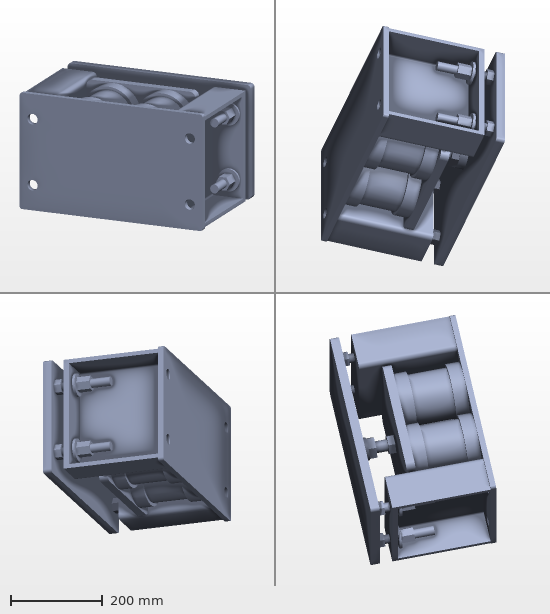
import cadquery as cq

LENGTH = 436.0
DEPTH = 279.5

FRONT_HEIGHT = 264.0
FRONT_THICKNESS = 12.5
FRONT_CORNER_RADIUS = 6.0
ACCESS_HOLE_DIAMETER = 24.0

BACK_HEIGHT = 260.0
BACK_THICKNESS = 20.0
BACK_CORNER_RADIUS = 8.0
BACK_INNER_Y = DEPTH - BACK_THICKNESS

LEG_WIDTH = 82.5
LEG_HEIGHT = 251.0
LEG_DEPTH = 219.0
LEG_WALL = 9.0
LEG_END_WALL = 12.0
LEG_OUTER_RADIUS = 11.0
LEG_INNER_RADIUS = 4.0
LEG_END_Y = FRONT_THICKNESS + LEG_DEPTH

SPRING_SPACING = 128.5
SPRING_CAP_DIAMETER = 128.0
SPRING_CAP_HEIGHT = 30.5
SPRING_BODY_DIAMETER = 113.0
SPRING_LENGTH = 148.5
PRESSURE_PLATE_SIDE = 260.0
PRESSURE_PLATE_THICKNESS = 20.0
PRESSURE_PLATE_CORNER_RADIUS = 14.0
SPRING_END_Y = FRONT_THICKNESS + SPRING_LENGTH
PRESSURE_PLATE_END_Y = SPRING_END_Y + PRESSURE_PLATE_THICKNESS

SCREW_DIAMETER = 26.0
SCREW_LOCKNUT_CORNERS = 45.0
SCREW_LOCKNUT_HEIGHT = 15.3
SCREW_HEAD_CORNERS = 51.0
SCREW_HEAD_HEIGHT = 17.0
SCREW_BOSS_DIAMETER = 51.0
SCREW_BOSS_HEIGHT = 18.5

BOLT_SPACING_X = 375.0
BOLT_SPACING_Z = 150.0
BOLT_DIAMETER = 20.0
BOLT_END_Y = 132.5
NUT_CORNERS = 34.5
NUT_HEIGHT = 15.3
WASHER_DIAMETER = 51.0
WASHER_THICKNESS = 5.5
WASHER_GAP = 5.5


def section_at(y):
    """Workplane at depth y, facing +Y, with its local x along -X and local y along Z."""
    return cq.Workplane("XZ", origin=(0, y, 0)).transformed(rotate=(0, 180, 0))


def rounded_plate(width, height, thickness, radius, y):
    plate = section_at(y).rect(width, height).extrude(thickness)
    return plate.edges("|Y").fillet(radius)


def cylinders(points, diameter, y_start, y_end):
    return section_at(y_start).pushPoints(points).circle(diameter / 2).extrude(y_end - y_start)


def hexagons(points, corners, y_start, height):
    return section_at(y_start).pushPoints(points).polygon(6, corners).extrude(height)


def grid(spacing_x, spacing_z):
    return [(sx * spacing_x / 2, sz * spacing_z / 2) for sx in (-1, 1) for sz in (-1, 1)]


def left_leg():
    """Channel with its web towards the middle, closed by an end wall at the back."""
    outer_x = -LENGTH / 2
    leg = (
        cq.Workplane("XY")
        .box(LEG_WIDTH, LEG_DEPTH, LEG_HEIGHT, centered=(False, False, True))
        .edges("|Y and >X")
        .fillet(LEG_OUTER_RADIUS)
    )
    cavity = (
        cq.Workplane("XY")
        .box(
            LEG_WIDTH - LEG_WALL,
            LEG_DEPTH - LEG_END_WALL,
            LEG_HEIGHT - 2 * LEG_WALL,
            centered=(False, False, True),
        )
        .edges("|Y and >X")
        .fillet(LEG_INNER_RADIUS)
    )
    return leg.cut(cavity).translate((outer_x, FRONT_THICKNESS, 0))


def springs():
    centres = grid(SPRING_SPACING, SPRING_SPACING)
    front_cap_end = FRONT_THICKNESS + SPRING_CAP_HEIGHT
    back_cap_start = SPRING_END_Y - SPRING_CAP_HEIGHT
    front_caps = cylinders(centres, SPRING_CAP_DIAMETER, FRONT_THICKNESS, front_cap_end)
    bodies = cylinders(centres, SPRING_BODY_DIAMETER, front_cap_end, back_cap_start)
    back_caps = cylinders(centres, SPRING_CAP_DIAMETER, back_cap_start, SPRING_END_Y)
    return front_caps.union(bodies).union(back_caps)


def adjusting_screw():
    axis = [(0, 0)]
    boss_start = BACK_INNER_Y - SCREW_BOSS_HEIGHT
    head_start = boss_start - SCREW_HEAD_HEIGHT
    locknut = hexagons(axis, SCREW_LOCKNUT_CORNERS, PRESSURE_PLATE_END_Y, SCREW_LOCKNUT_HEIGHT)
    rod = cylinders(axis, SCREW_DIAMETER, PRESSURE_PLATE_END_Y, boss_start)
    head = hexagons(axis, SCREW_HEAD_CORNERS, head_start, SCREW_HEAD_HEIGHT)
    boss = cylinders(axis, SCREW_BOSS_DIAMETER, boss_start, BACK_INNER_Y)
    return locknut.union(rod).union(head).union(boss)


def corner_bolts(centres):
    """Bolts through the leg end walls, each with a nut, a washer and a double-height nut."""
    washer_end = LEG_END_Y - LEG_END_WALL - WASHER_GAP
    washer_start = washer_end - WASHER_THICKNESS
    double_height = 2 * NUT_HEIGHT
    shanks = cylinders(centres, BOLT_DIAMETER, BOLT_END_Y, BACK_INNER_Y)
    back_nuts = hexagons(centres, NUT_CORNERS, BACK_INNER_Y - NUT_HEIGHT, NUT_HEIGHT)
    washers = cylinders(centres, WASHER_DIAMETER, washer_start, washer_end)
    inner_nuts = hexagons(centres, NUT_CORNERS, washer_start - double_height, double_height)
    return shanks.union(back_nuts).union(washers).union(inner_nuts)


bolt_centres = grid(BOLT_SPACING_X, BOLT_SPACING_Z)

front_plate = rounded_plate(LENGTH, FRONT_HEIGHT, FRONT_THICKNESS, FRONT_CORNER_RADIUS, 0)
access_holes = cylinders(bolt_centres, ACCESS_HOLE_DIAMETER, 0, FRONT_THICKNESS)
back_plate = rounded_plate(LENGTH, BACK_HEIGHT, BACK_THICKNESS, BACK_CORNER_RADIUS, BACK_INNER_Y)
pressure_plate = rounded_plate(
    PRESSURE_PLATE_SIDE,
    PRESSURE_PLATE_SIDE,
    PRESSURE_PLATE_THICKNESS,
    PRESSURE_PLATE_CORNER_RADIUS,
    SPRING_END_Y,
)
leg = left_leg()

result = (
    front_plate.cut(access_holes)
    .union(leg)
    .union(leg.mirror("YZ"))
    .union(springs())
    .union(pressure_plate)
    .union(adjusting_screw())
    .union(back_plate)
    .union(corner_bolts(bolt_centres))
)